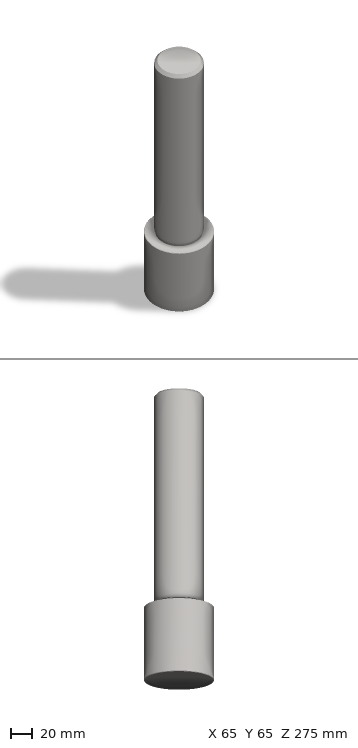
import cadquery as cq

total_height = 275.0
head_diameter = 65.0
head_height = 70.0
head_chamfer = 0.5
shank_diameter = 46.0
tip_chamfer = 3.0

neck_diameter = 44.0
neck_height = 3.5


def cylinder(diameter, bottom, top):
    """Upright cylinder on the Z axis between two heights."""
    return cq.Workplane("XY").workplane(offset=bottom).circle(diameter / 2).extrude(top - bottom)


neck_top = head_height + neck_height

head = cylinder(head_diameter, 0, head_height).edges().chamfer(head_chamfer)
neck = cylinder(neck_diameter, head_height, neck_top)
shank = cylinder(shank_diameter, neck_top, total_height).faces(">Z").edges().chamfer(tip_chamfer)

result = head.union(neck).union(shank)